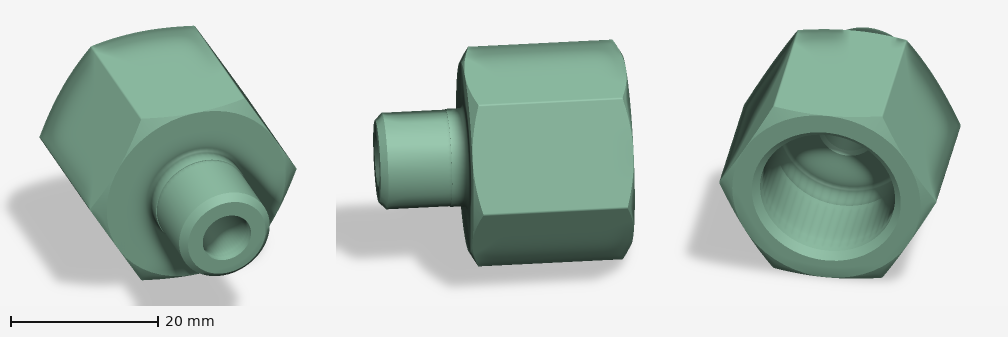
import cadquery as cq
import math

across_flats = 26.0
corner_rounding = 0.35
body_length = 22.0
bevel_face_diameter = 25.98
bevel_angle = math.radians(30)

overall_length = 34.0
spigot_diameter = 13.15
spigot_chamfer = 0.95
collar_diameter = 13.35
collar_end = 24.35
collar_fillet = 0.5

bore_diameter = 18.63
bore_mouth_diameter = 20.57
relief_diameter = 18.85
relief_start = 12.6
bore_depth = 17.0
floor_fillet = 0.48

hole_diameter = 7.0
hole_mouth_diameter = 8.02


def revolve_about_x(outline):
    return outline.close().revolve(360, (0, 0, 0), (1, 0, 0))


def make_body():
    """Hexagonal prism, with rounded long edges, turned to a cone at both ends."""
    hexagon = (
        cq.Workplane("YZ")
        .polygon(6, across_flats, circumscribed=True)
        .extrude(body_length)
        .rotate((0, 0, 0), (1, 0, 0), 90)
        .edges("|X")
        .fillet(corner_rounding)
    )
    corner_radius = across_flats / math.sqrt(3)
    face_radius = bevel_face_diameter / 2
    bevel_length = (corner_radius - face_radius) * math.tan(bevel_angle)
    turned_envelope = revolve_about_x(
        cq.Workplane("XY")
        .lineTo(0, face_radius)
        .lineTo(bevel_length, corner_radius)
        .lineTo(body_length - bevel_length, corner_radius)
        .lineTo(body_length, face_radius)
        .lineTo(body_length, 0)
    )
    return hexagon.intersect(turned_envelope)


def make_spigot():
    """Stepped spigot with a fillet against the body and a chamfered tip."""
    collar_radius = collar_diameter / 2
    spigot_radius = spigot_diameter / 2
    root = body_length - collar_fillet
    return revolve_about_x(
        cq.Workplane("XY")
        .moveTo(root, 0)
        .lineTo(root, collar_radius + collar_fillet)
        .lineTo(body_length, collar_radius + collar_fillet)
        .radiusArc((body_length + collar_fillet, collar_radius), -collar_fillet)
        .lineTo(collar_end, collar_radius)
        .lineTo(collar_end, spigot_radius)
        .lineTo(overall_length - spigot_chamfer, spigot_radius)
        .lineTo(overall_length, spigot_radius - spigot_chamfer)
        .lineTo(overall_length, 0)
    )


def make_bore():
    """Cutter for the chamfered bore, its wider floor end and the through hole."""
    bore_radius = bore_diameter / 2
    mouth_radius = bore_mouth_diameter / 2
    relief_radius = relief_diameter / 2
    hole_radius = hole_diameter / 2
    hole_mouth_radius = hole_mouth_diameter / 2
    return revolve_about_x(
        cq.Workplane("XY")
        .lineTo(0, mouth_radius)
        .lineTo(mouth_radius - bore_radius, bore_radius)
        .lineTo(relief_start, bore_radius)
        .lineTo(relief_start, relief_radius)
        .lineTo(bore_depth - floor_fillet, relief_radius)
        .radiusArc((bore_depth, relief_radius - floor_fillet), floor_fillet)
        .lineTo(bore_depth, hole_mouth_radius)
        .lineTo(bore_depth + hole_mouth_radius - hole_radius, hole_radius)
        .lineTo(overall_length, hole_radius)
        .lineTo(overall_length, 0)
    )


result = make_body().union(make_spigot()).cut(make_bore())